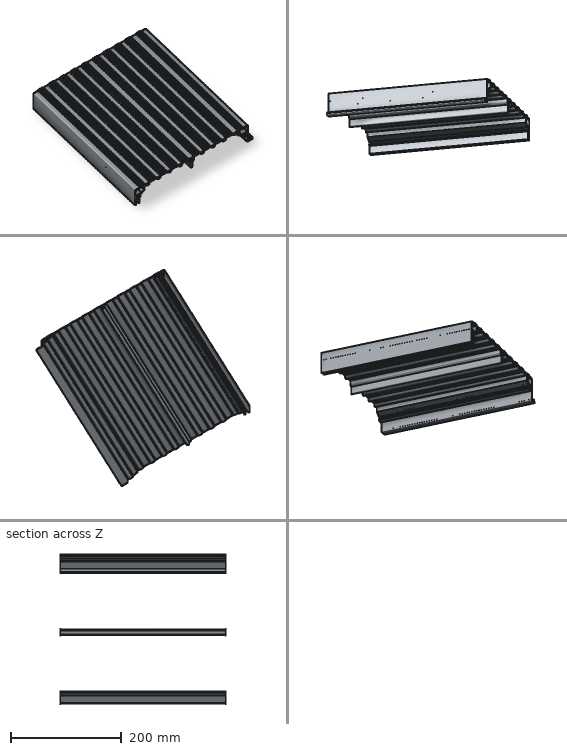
import cadquery as cq

length = 300.0
total_depth = 271.0
total_height = 46.5

wall = 2.5
body_depth = 259.8
corner_radius = 4.0
strip_height = 1.8
deck_top = total_height - strip_height
deck_thickness = 1.8
deck_bottom = deck_top - deck_thickness

strip_count = 10
strip_span = 225.0
strip_pitch = strip_span / (strip_count - 1)
teeth_per_strip = 3
tooth_pitch = 3.5
strip_width = 12.3
tooth_tip_width = 1.2
groove_depth = 1.0
rib_radius = 4.5
rib_center_drop = 0.5
middle = body_depth / 2
first_strip = middle - strip_span / 2
first_rib = first_strip + strip_pitch / 2

shelf_top = 28.8
shelf_bottom = 25.2
shelf_top_end = 14.7
shelf_bottom_end = 13.5
inner_wall_near = 20.7
inner_wall_far = inner_wall_near + wall
slant_top_inside = 32.5
slant_top_outside = 31.2
haunch_depth = 1.2

screw_radius = 3.5
screw_wall = 2.5
boss_radius = screw_radius + screw_wall
channel_y = 8.5
channel_z = 22.8
channel_opening = 4.5
hook_end = 13.2
boss_z = 37.5
stem_width = 4.8
stem_bottom = 18.0

foot_bottom = 3.3
foot_thickness = 3.3
foot_rounding = 1.0
fin_start = 8.5
fin_thickness = 2.7

lip_thickness = 3.3
ridge_start = 263.5
ridge_width = 4.2
ridge_height = 2.5
lip_rounding = 0.5


def block(y_min, y_max, z_min, z_max):
    """Full-length rectangular bar between the given Y and Z limits."""
    return prism([(y_min, z_min), (y_max, z_min), (y_max, z_max), (y_min, z_max)])


def prism(points):
    """Full-length bar with a polygonal Y-Z section."""
    return cq.Workplane("YZ").polyline(points).close().extrude(length)


def rod(y, z, radius):
    """Full-length round bar."""
    return cq.Workplane("YZ").center(y, z).circle(radius).extrude(length)


def mirrored(bar):
    """Copy of a front bar, flipped to the rear side of the deck."""
    return bar.mirror("XZ", (0, middle, 0))


def shell():
    """Deck plate and the upper part of both outer walls, with rounded upper corners."""
    outside = block(0, body_depth, channel_z, deck_top).edges("|X and >Z").fillet(corner_radius)
    inside = block(wall, body_depth - wall, channel_z, deck_bottom)
    inside = inside.edges("|X and >Z").fillet(corner_radius - deck_thickness)
    return outside.cut(inside)


def grip_strip(center):
    """Low plinth with sloping sides that carries flat-tipped teeth with 45-degree flanks."""
    half_tip = tooth_tip_width / 2
    outer_tooth = (teeth_per_strip - 1) / 2 * tooth_pitch
    half_base = strip_width / 2
    half_groove = half_tip + groove_depth
    groove_floor = total_height - groove_depth
    points = [(center - half_base, deck_bottom), (center - half_base, deck_top)]
    for i in range(teeth_per_strip):
        y = center - outer_tooth + i * tooth_pitch
        points.append((y - half_groove, groove_floor))
        points.append((y - half_tip, total_height))
        points.append((y + half_tip, total_height))
        points.append((y + half_groove, groove_floor))
    points.append((center + half_base, deck_top))
    points.append((center + half_base, deck_bottom))
    return prism(points)


def rib(center):
    """Stiffening rib under the deck, slightly more than half round."""
    below_deck = block(0, body_depth, 0, deck_bottom)
    return rod(center, deck_bottom - rib_center_drop, rib_radius).intersect(below_deck)


def corner_chamber():
    """Shelf, slanted web and inner wall that close the front corner, with the channel's round wall."""
    section = [
        (0, shelf_top),
        (shelf_top_end, shelf_top),
        (inner_wall_near, slant_top_inside),
        (inner_wall_near, deck_bottom),
        (inner_wall_far, deck_bottom),
        (inner_wall_far, slant_top_outside),
        (shelf_bottom_end, shelf_bottom),
        (0, shelf_bottom),
    ]
    backing = block(0, channel_y - screw_radius, channel_z - screw_radius, shelf_top)
    haunch = block(inner_wall_near, first_rib, deck_bottom - haunch_depth, deck_bottom)
    tube = rod(channel_y, channel_z, boss_radius)
    return prism(section).union(backing).union(tube).union(haunch)


def channel_void():
    """Round screw channel with a slot that opens towards the middle of the deck."""
    half = channel_opening / 2
    slot = block(channel_y, shelf_top_end + wall, channel_z - half, channel_z + half)
    beyond_hook = block(hook_end, shelf_top_end + wall, channel_z - boss_radius, channel_z)
    return rod(channel_y, channel_z, screw_radius).union(slot).union(beyond_hook)


def front_foot():
    """Thickened lower front wall, and the fin that runs beside it."""
    thick = block(0, foot_thickness, foot_bottom, channel_z)
    thick = thick.edges("|X and <Z").fillet(foot_rounding)
    fin = block(fin_start, fin_start + fin_thickness, foot_bottom, channel_z)
    bridge = block(0, fin_start, channel_z - boss_radius, channel_z)
    return thick.union(fin).union(bridge)


def rear_lip():
    """Lower rear wall, and the outward lip at its foot with a ridge on top."""
    lip = block(body_depth - wall, total_depth, 0, lip_thickness)
    lip = lip.edges("|X and (<Z or >Y)").fillet(lip_rounding)
    ridge = block(ridge_start, ridge_start + ridge_width, lip_thickness / 2, lip_thickness + ridge_height)
    ridge = ridge.edges("|X and >Z").fillet(lip_rounding)
    rear_wall = block(body_depth - wall, body_depth, lip_thickness / 2, channel_z)
    return rear_wall.union(lip).union(ridge)


def center_boss():
    """U-shaped boss under the deck with a round-ended stem below it."""
    half = stem_width / 2
    boss = rod(middle, boss_z, boss_radius)
    boss = boss.union(block(middle - boss_radius, middle + boss_radius, boss_z, deck_top))
    stem = block(middle - half, middle + half, stem_bottom + half, boss_z)
    tip = rod(middle, stem_bottom + half, half)
    return boss.union(stem).union(tip)


result = shell()

for i in range(strip_count):
    strip_center = first_strip + i * strip_pitch
    result = result.union(grip_strip(strip_center))
    rib_center = strip_center + strip_pitch / 2
    is_middle_gap = i == strip_count // 2 - 1
    if i < strip_count - 1 and not is_middle_gap:
        result = result.union(rib(rib_center))

result = result.union(corner_chamber()).union(mirrored(corner_chamber()))
result = result.union(front_foot()).union(rear_lip()).union(center_boss())
result = result.cut(channel_void()).cut(mirrored(channel_void()))
result = result.cut(rod(middle, boss_z, screw_radius))